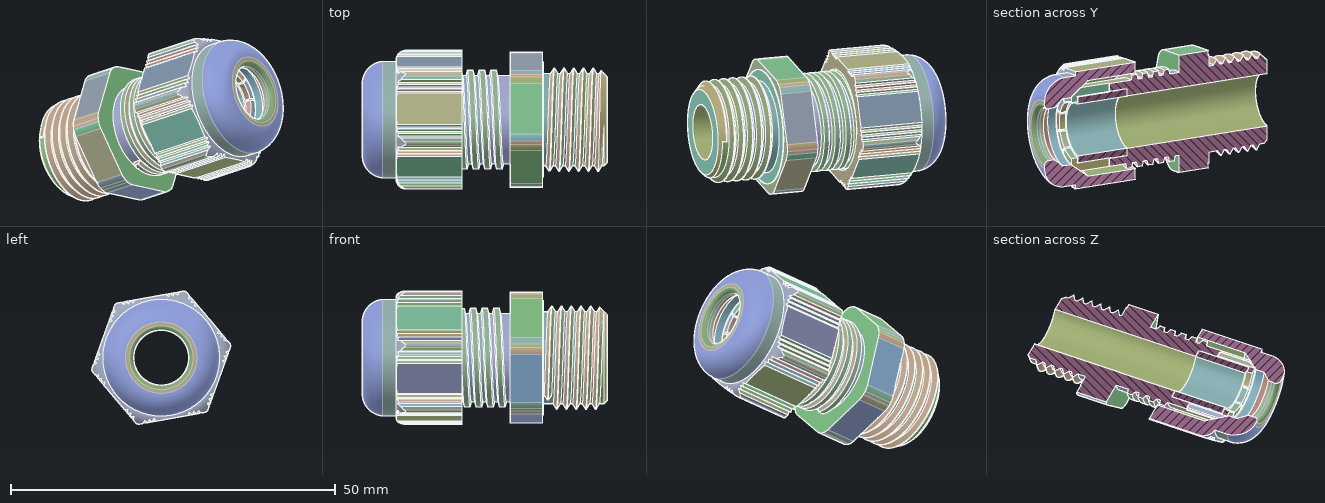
import cadquery as cq
import math


OVERALL_LENGTH = 37.79

HEX_SIDES = 6
HEX_STEP = 360 / HEX_SIDES
HEX_FLATS = 19.0
HEX_TURN = -10.2
APOTHEM = HEX_FLATS / 2

DOME_RADIUS = 9.0
DOME_FLAT_RADIUS = 11.0 / 2
DOME_ARC_LENGTH = 3.13
NUT_HEX_FRONT = 5.2
NUT_REAR = 15.42
NUT_CORNER_FILLET = 0.65
NUT_FRONT_ROUNDING = 1.9
GROOVES_PER_FLAT_END = 3
GROOVE_WIDTH = 0.68
GROOVE_DEPTH = 0.45
GROOVE_PITCH = 0.72
FIRST_GROOVE_OFFSET = 2.77

MOUTH_ROUNDING = 0.7
MOUTH_RADIUS = 8.42 / 2
LIP_STEP_X = 1.17
LIP_STEP_RADIUS = 8.47 / 2
LIP_REAR_X = 1.8
LIP_REAR_RADIUS = 8.55 / 2
CAVITY_RADIUS = 10.92 / 2
CAVITY_FRONT_X = 3.07
CAVITY_REAR_X = 4.46
CLAMP_CONE_SLOPE = 0.8
NUT_BORE_RADIUS = 15.65 / 2

NECK_RADIUS = 13.68 / 2
FINGER_TIP_X = 4.65
FINGER_TIP_RADIUS = 9.17 / 2
FINGER_COUNT = 10
FINGER_SLOT_WIDTH = 0.25
FINGER_SLOT_END = 11.0
BODY_HEX_FRONT = 22.8
BODY_HEX_REAR = 27.82
BODY_HEX_CORNER_RADIUS = 21.0 / 2
BODY_HEX_FILLET = 2.2
SEAT_RADIUS = 17.7 / 2
SEAT_THICKNESS = 0.1
SHANK_RADIUS = 14.23 / 2
SHANK_END_RADIUS = 6.6
BODY_BORE_RADIUS = 8.55 / 2

NUT_THREAD_RADIUS = 15.24 / 2
NUT_THREAD_PITCH = 1.8
NUT_THREAD_BASE = 1.25
NUT_THREAD_CREST = 0.85
NUT_THREAD_END_X = 21.7
NUT_THREAD_END_ANGLE = 290.0
NUT_THREAD_TURNS = 4.5

SHANK_THREAD_RADIUS = 15.9 / 2
SHANK_THREAD_PITCH = 1.5
SHANK_THREAD_BASE = 1.15
SHANK_THREAD_CREST = 0.1
SHANK_THREAD_START_X = 28.62
SHANK_THREAD_START_ANGLE = 235.0
SHANK_THREAD_TURNS = 5.65

THREAD_OVERLAP = 0.1

SEAL_FRONT = 5.67
SEAL_REAR = 14.0
SEAL_BORE_RADIUS = 8.47 / 2


def rod(radius, start, end):
    return cq.Workplane("YZ").workplane(offset=start).circle(radius).extrude(end - start)


def hex_prism(start, end):
    corner_radius = APOTHEM / math.cos(math.pi / HEX_SIDES)
    outline = cq.Workplane("YZ").workplane(offset=start).polygon(HEX_SIDES, 2 * corner_radius)
    prism = outline.extrude(end - start)
    return prism.rotate((0, 0, 0), (1, 0, 0), HEX_TURN)


def revolve_about_x(profile):
    """Turn a closed (x, radius) profile drawn in the XY plane around the X axis."""
    return profile.close().revolve(360, (0, 0, 0), (1, 0, 0))


def thread_ridge(root, crest, base_width, crest_width, pitch, turns, start_x, start_angle, left_handed):
    """One helical ridge around X; angles run from +Y towards +Z."""
    foot = root - THREAD_OVERLAP
    flank_run = (base_width - crest_width) / (crest - root) / 2
    foot_width = base_width + 2 * flank_run * THREAD_OVERLAP
    path = cq.Wire.makeHelix(pitch, pitch * turns, root, lefthand=left_handed)
    ridge = (
        cq.Workplane("XZ")
        .moveTo(foot, -foot_width / 2)
        .lineTo(crest, -crest_width / 2)
        .lineTo(crest, crest_width / 2)
        .lineTo(foot, foot_width / 2)
        .close()
        .sweep(cq.Workplane(path), isFrenet=True)
    )
    along_x = cq.Location(cq.Plane.YZ())
    turned = ridge.rotate((0, 0, 0), (0, 0, 1), start_angle).translate((0, 0, start_x))
    return cq.Workplane(turned.val().moved(along_x))


def grip_grooves():
    """V grooves along the nut, three near each end of every hexagon flat."""
    cutters = cq.Workplane("YZ")
    for flat in range(HEX_SIDES):
        for side in (-1, 1):
            for number in range(GROOVES_PER_FLAT_END):
                middle = side * (FIRST_GROOVE_OFFSET + number * GROOVE_PITCH)
                groove = (
                    cq.Workplane("YZ")
                    .workplane(offset=NUT_HEX_FRONT)
                    .moveTo(APOTHEM - GROOVE_DEPTH, middle)
                    .lineTo(APOTHEM, middle - GROOVE_WIDTH / 2)
                    .lineTo(APOTHEM + GROOVE_DEPTH, middle - GROOVE_WIDTH / 2)
                    .lineTo(APOTHEM + GROOVE_DEPTH, middle + GROOVE_WIDTH / 2)
                    .lineTo(APOTHEM, middle + GROOVE_WIDTH / 2)
                    .close()
                    .extrude(NUT_REAR - NUT_HEX_FRONT)
                )
                flat_angle = HEX_TURN + (flat + 0.5) * HEX_STEP
                cutters = cutters.add(groove.rotate((0, 0, 0), (1, 0, 0), flat_angle))
    return cutters.vals()


def make_dome_nut():
    rounding = NUT_FRONT_ROUNDING
    diagonal = rounding * math.sqrt(0.5)
    envelope = revolve_about_x(
        cq.Workplane("XY")
        .moveTo(NUT_HEX_FRONT, 0)
        .lineTo(NUT_HEX_FRONT, DOME_RADIUS)
        .threePointArc(
            (NUT_HEX_FRONT + rounding - diagonal, DOME_RADIUS + diagonal),
            (NUT_HEX_FRONT + rounding, DOME_RADIUS + rounding),
        )
        .lineTo(NUT_REAR, DOME_RADIUS + rounding)
        .lineTo(NUT_REAR, 0)
    )
    hexagon = hex_prism(NUT_HEX_FRONT, NUT_REAR).edges("|X").fillet(NUT_CORNER_FILLET)
    grooved = hexagon.cut(cq.Workplane(cq.Compound.makeCompound(grip_grooves())))
    nut = grooved.intersect(envelope)

    dome = revolve_about_x(
        cq.Workplane("XY")
        .lineTo(0, DOME_FLAT_RADIUS)
        .tangentArcPoint((DOME_ARC_LENGTH, DOME_RADIUS), relative=False)
        .lineTo(NUT_HEX_FRONT + rounding, DOME_RADIUS)
        .lineTo(NUT_HEX_FRONT + rounding, 0)
    )
    nut = nut.union(dome)

    mouth_diagonal = MOUTH_ROUNDING * (1 - math.sqrt(0.5))
    cone_rear_x = CAVITY_REAR_X + (NUT_BORE_RADIUS - CAVITY_RADIUS) / CLAMP_CONE_SLOPE
    bore = revolve_about_x(
        cq.Workplane("XY")
        .lineTo(0, MOUTH_RADIUS + MOUTH_ROUNDING)
        .threePointArc((mouth_diagonal, MOUTH_RADIUS + mouth_diagonal), (MOUTH_ROUNDING, MOUTH_RADIUS))
        .lineTo(LIP_STEP_X, LIP_STEP_RADIUS)
        .lineTo(LIP_REAR_X, LIP_REAR_RADIUS)
        .lineTo(CAVITY_FRONT_X, CAVITY_RADIUS)
        .lineTo(CAVITY_REAR_X, CAVITY_RADIUS)
        .lineTo(cone_rear_x, NUT_BORE_RADIUS)
        .lineTo(NUT_REAR, NUT_BORE_RADIUS)
        .lineTo(NUT_REAR, 0)
    )
    return nut.cut(bore)


def make_clamp_sleeve():
    """Neck with its front end split into clamping fingers that fit the cone of the nut."""
    tip_outer_radius = CAVITY_RADIUS + (FINGER_TIP_X - CAVITY_REAR_X) * CLAMP_CONE_SLOPE
    cone_length = (NECK_RADIUS - tip_outer_radius) / CLAMP_CONE_SLOPE
    sleeve = revolve_about_x(
        cq.Workplane("XY")
        .moveTo(FINGER_TIP_X, 0)
        .lineTo(FINGER_TIP_X, tip_outer_radius)
        .lineTo(FINGER_TIP_X + cone_length, NECK_RADIUS)
        .lineTo(BODY_HEX_FRONT, NECK_RADIUS)
        .lineTo(BODY_HEX_FRONT, 0)
    )
    for number in range(FINGER_COUNT):
        slot = (
            cq.Workplane("XY")
            .box(FINGER_SLOT_END - FINGER_TIP_X, 2 * NECK_RADIUS, FINGER_SLOT_WIDTH, (False, False, True))
            .translate((FINGER_TIP_X, 0, 0))
            .rotate((0, 0, 0), (1, 0, 0), (number + 0.5) * 360 / FINGER_COUNT)
        )
        sleeve = sleeve.cut(slot)
    return sleeve


def make_body_hexagon():
    """Spanner hexagon with turned corners, blended into the flats."""
    hexagon = hex_prism(BODY_HEX_FRONT, BODY_HEX_REAR)
    hexagon = hexagon.intersect(rod(BODY_HEX_CORNER_RADIUS, BODY_HEX_FRONT, BODY_HEX_REAR))
    return hexagon.edges("|X").fillet(BODY_HEX_FILLET)


def make_gland_body():
    seat_rear = BODY_HEX_REAR + SEAT_THICKNESS
    body = make_clamp_sleeve()
    body = body.union(make_body_hexagon())
    body = body.union(rod(SEAT_RADIUS, BODY_HEX_REAR, seat_rear))

    nut_thread = thread_ridge(
        root=NECK_RADIUS,
        crest=NUT_THREAD_RADIUS,
        base_width=NUT_THREAD_BASE,
        crest_width=NUT_THREAD_CREST,
        pitch=NUT_THREAD_PITCH,
        turns=NUT_THREAD_TURNS,
        start_x=NUT_THREAD_END_X - NUT_THREAD_PITCH * NUT_THREAD_TURNS,
        start_angle=NUT_THREAD_END_ANGLE - 360 * NUT_THREAD_TURNS,
        left_handed=False,
    )
    body = body.union(nut_thread)

    shank_thread = thread_ridge(
        root=SHANK_RADIUS,
        crest=SHANK_THREAD_RADIUS,
        base_width=SHANK_THREAD_BASE,
        crest_width=SHANK_THREAD_CREST,
        pitch=SHANK_THREAD_PITCH,
        turns=SHANK_THREAD_TURNS,
        start_x=SHANK_THREAD_START_X,
        start_angle=SHANK_THREAD_START_ANGLE,
        left_handed=True,
    )
    shank = rod(SHANK_RADIUS, seat_rear, OVERALL_LENGTH).union(shank_thread)
    chamfer_length = SHANK_THREAD_RADIUS - SHANK_END_RADIUS
    chamfer_ring = revolve_about_x(
        cq.Workplane("XY")
        .moveTo(OVERALL_LENGTH, SHANK_END_RADIUS)
        .lineTo(OVERALL_LENGTH + chamfer_length, SHANK_END_RADIUS)
        .lineTo(OVERALL_LENGTH + chamfer_length, SHANK_THREAD_RADIUS + chamfer_length)
        .lineTo(OVERALL_LENGTH - 2 * chamfer_length, SHANK_THREAD_RADIUS + chamfer_length)
    )
    body = body.union(shank.cut(chamfer_ring))

    body = body.cut(rod(FINGER_TIP_RADIUS, FINGER_TIP_X, SEAL_FRONT))
    body = body.cut(rod(CAVITY_RADIUS, SEAL_FRONT, SEAL_REAR))
    return body.cut(rod(BODY_BORE_RADIUS, SEAL_REAR, OVERALL_LENGTH))


def make_seal():
    return rod(CAVITY_RADIUS, SEAL_FRONT, SEAL_REAR).cut(rod(SEAL_BORE_RADIUS, SEAL_FRONT, SEAL_REAR))


dome_nut = make_dome_nut()
gland_body = make_gland_body()
seal = make_seal()

result = cq.Compound.makeCompound(
    [dome_nut.solids().val(), gland_body.solids().val(), seal.solids().val()]
)